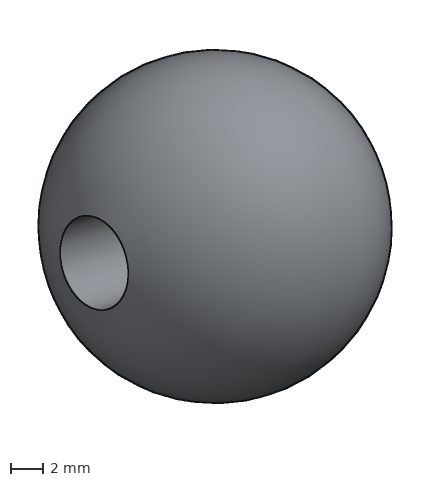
import math

import cadquery as cq

ball_diameter = 22.0
bore_diameter = 6.0

ball_radius = ball_diameter / 2
bore_radius = bore_diameter / 2

rim_y = math.sqrt(ball_radius**2 - bore_radius**2)

half_section = (
    cq.Workplane("XY")
    .moveTo(-bore_radius, -rim_y)
    .threePointArc((-ball_radius, 0), (-bore_radius, rim_y))
    .close()
)

result = half_section.revolve(360, (0, 0, 0), (0, 1, 0))